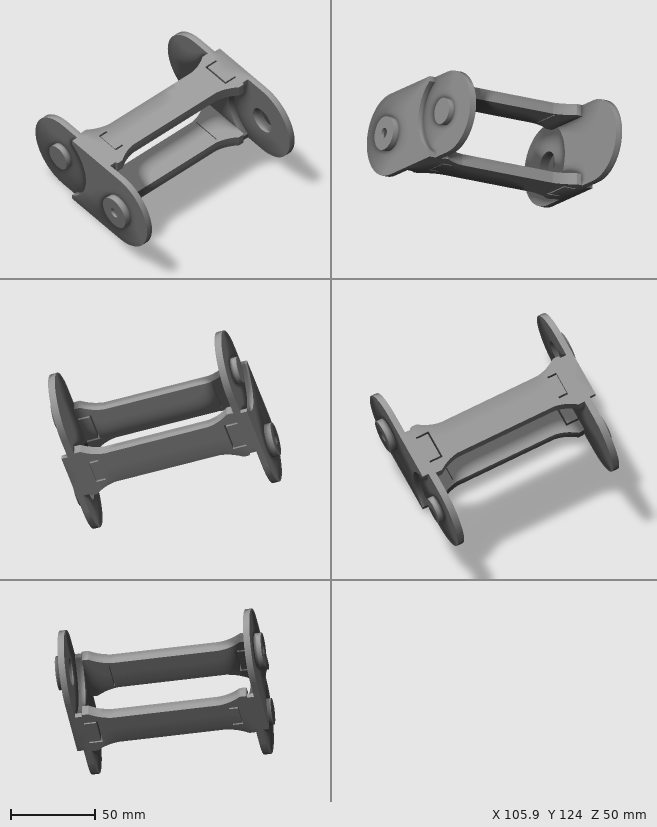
import cadquery as cq


link_length = 105.9
link_width = 124
link_height = 50.0

inner_layer = 4.2
outer_layer = 3.8
boss_height = 4.2
plate_radius = link_height / 2
pivot_x = link_length / 2 - plate_radius
swing_radius = 25.4
step_offset = 12.9
pin_radius = 7.9
boss_radius = 10.2
pin_clearance = 0.2
socket_depth = 6.1
hole_diameter = 6.2

plate_inner_y = link_width / 2 - boss_height - outer_layer - inner_layer
layer_joint_y = plate_inner_y + inner_layer
plate_outer_y = layer_joint_y + outer_layer

bar_thickness = 7.0
bar_end_width = 33.1
bar_waist_width = 22.1
bar_end_straight = 4.1
flare_length = 13.3
flare_radius = 27.8
corner_radius = 1.0
bar_top_z = link_height / 2
bar_bottom_z = bar_top_z - bar_thickness

key_width = 16.1
key_length = 7.3
key_gap = 1.1

arm_width = 18.1
arm_length = 15.0
arm_thickness = bar_thickness / 2
arm_end_gap = 0.6
hook_width = 13.3
hook_start = 6.8
hook_end = 12.4
hook_side_gap = 1.1
hook_near_gap = 0.4


def block(width, y_from, y_to, z_from, z_to):
    """Box centred on X = 0 between the given Y and Z levels."""
    size = (width, y_to - y_from, z_to - z_from)
    return cq.Workplane("XY").box(*size, centered=(True, False, False)).translate((0, y_from, z_from))


def disc(x, radius, y_from, y_to):
    """Cylinder along Y with its axis at the given X."""
    return cq.Workplane("XZ", origin=(x, y_to, 0)).circle(radius).extrude(y_to - y_from)


def half_turn(body):
    """Turn a body half a turn about the X axis."""
    return body.rotate((0, 0, 0), (1, 0, 0), 180)


def plate_layer(end, y_from, y_to):
    """Plate layer, rounded about the pivot at one end (+1 or -1) and cut back around the other pivot."""
    straight_end = -end * (pivot_x - step_offset)
    length = pivot_x + abs(straight_end)
    middle = (end * pivot_x + straight_end) / 2
    straight = block(length, y_from, y_to, -plate_radius, plate_radius).translate((middle, 0, 0))
    rounded = disc(end * pivot_x, plate_radius, y_from, y_to)
    swing = disc(-end * pivot_x, swing_radius, y_from, y_to)
    return straight.union(rounded).cut(swing)


def latch(side_gap, near_gap, end_gap):
    """Arm and hook at the lower side of the back plate, grown by the given gaps."""
    bar_inner_z = -bar_bottom_z
    arm = block(
        arm_width,
        plate_inner_y - arm_length - end_gap,
        plate_inner_y,
        bar_inner_z - arm_thickness,
        bar_inner_z,
    )
    hook = block(
        hook_width + 2 * side_gap,
        plate_inner_y - hook_end,
        plate_inner_y - hook_start + near_gap,
        -bar_top_z,
        bar_inner_z,
    )
    return arm.union(hook)


def key(gap):
    """Tab at the upper side of the back plate, grown by the given gap."""
    return block(
        key_width + 2 * gap,
        plate_inner_y - key_length - gap,
        plate_inner_y,
        bar_bottom_z,
        bar_top_z,
    )


def make_side_plate():
    """Back side plate with its pin, bored boss, key and latch."""
    plate = plate_layer(-1, plate_inner_y, layer_joint_y)
    plate = plate.union(plate_layer(1, layer_joint_y, plate_outer_y))
    plate = plate.union(disc(-pivot_x, pin_radius, layer_joint_y, plate_outer_y))
    plate = plate.union(disc(pivot_x, boss_radius, plate_outer_y, link_width / 2))
    plate = plate.cut(disc(pivot_x, hole_diameter / 2, layer_joint_y, link_width / 2))
    socket_floor_y = layer_joint_y + socket_depth
    plate = plate.cut(disc(pivot_x, pin_radius + pin_clearance, layer_joint_y, socket_floor_y))
    return plate.union(key(0)).union(latch(0, 0, 0))


def bar_blank():
    """Waisted bar with concave flares up to its full width at both ends."""
    end_x = bar_end_width / 2
    waist_x = bar_waist_width / 2
    flare_y = plate_inner_y - bar_end_straight
    waist_y = flare_y - flare_length
    blank = (
        cq.Workplane("XY", origin=(0, 0, bar_bottom_z))
        .moveTo(-end_x, plate_inner_y)
        .lineTo(end_x, plate_inner_y)
        .lineTo(end_x, flare_y)
        .radiusArc((waist_x, waist_y), -flare_radius)
        .lineTo(waist_x, -waist_y)
        .radiusArc((end_x, -flare_y), -flare_radius)
        .lineTo(end_x, -plate_inner_y)
        .lineTo(-end_x, -plate_inner_y)
        .lineTo(-end_x, -flare_y)
        .radiusArc((-waist_x, -waist_y), -flare_radius)
        .lineTo(-waist_x, waist_y)
        .radiusArc((-end_x, flare_y), -flare_radius)
        .close()
        .extrude(bar_thickness)
    )
    selection_margin = 1.2
    for side in (1, -1):
        corner_box = cq.selectors.BoxSelector(
            (side * end_x - selection_margin, -link_width, -link_height),
            (side * end_x + selection_margin, link_width, link_height),
        )
        blank = blank.edges("|Z").edges(corner_box).fillet(corner_radius)
    return blank


def make_crossbar():
    """Upper crossbar: open notch at the back end, latch recess and window at the front end."""
    bar = bar_blank().cut(key(key_gap))
    return bar.cut(half_turn(latch(hook_side_gap, hook_near_gap, arm_end_gap)))


side_plate = make_side_plate()
crossbar = make_crossbar()
bodies = []
for body in (side_plate, crossbar):
    for placed in (body, half_turn(body)):
        bodies.append(placed.val())

result = cq.Compound.makeCompound(bodies)